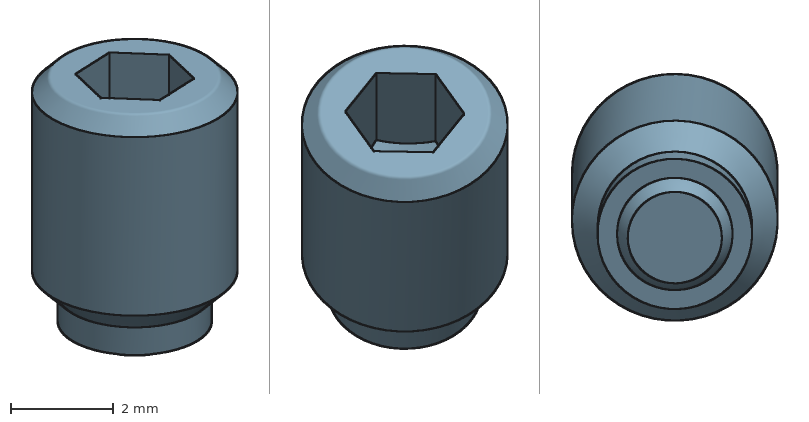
import cadquery as cq
import math

total_height = 5.6
body_radius = 2.0
collar_radius = 1.5
collar_height = 0.6
top_chamfer = 0.335
top_edge_radius = 0.1

ball_radius = 1.25
ball_center_z = 0.85
ball_protrusion = 0.3

socket_across_flats = 2.0
socket_depth = 2.0
socket_floor_angle = 120.0

socket_corner_radius = socket_across_flats / math.sqrt(3)
socket_cone_depth = socket_corner_radius / math.tan(math.radians(socket_floor_angle / 2))
socket_floor_z = total_height - socket_depth
collar_bottom_z = ball_protrusion
collar_top_z = collar_bottom_z + collar_height
bottom_chamfer = body_radius - collar_radius


def make_ball():
    """Ball cut off flat at Z = 0."""
    sphere = cq.Workplane("XY").sphere(ball_radius).translate((0, 0, ball_center_z))
    upper_space = cq.Workplane("XY").box(
        2 * ball_radius, 2 * ball_radius, ball_center_z + ball_radius, centered=(True, True, False)
    )
    return sphere.intersect(upper_space)


def make_socket():
    """Hexagonal cavity, corners along X, narrowing to a point at the bottom."""
    cone_tip_z = socket_floor_z - socket_cone_depth
    drilled_hole = (
        cq.Workplane("XZ")
        .moveTo(0, cone_tip_z)
        .lineTo(socket_corner_radius, socket_floor_z)
        .lineTo(socket_corner_radius, total_height)
        .lineTo(0, total_height)
        .close()
        .revolve(360, (0, 0), (0, 1))
    )
    hexagon = (
        cq.Workplane("XY", origin=(0, 0, cone_tip_z))
        .polygon(6, 2 * socket_corner_radius)
        .extrude(total_height - cone_tip_z)
    )
    return hexagon.intersect(drilled_hole)


def make_screw(ball):
    """Chamfered body and collar, with the hexagon socket and a seat that matches the ball."""
    blank = (
        cq.Workplane("XZ")
        .moveTo(0, collar_bottom_z)
        .lineTo(collar_radius, collar_bottom_z)
        .lineTo(collar_radius, collar_top_z)
        .lineTo(body_radius, collar_top_z + bottom_chamfer)
        .lineTo(body_radius, total_height - top_chamfer)
        .lineTo(body_radius - top_chamfer, total_height)
        .lineTo(0, total_height)
        .close()
        .revolve(360, (0, 0), (0, 1))
    )
    rounded_blank = blank.faces(">Z").edges().fillet(top_edge_radius)
    return rounded_blank.cut(make_socket()).cut(ball)


ball = make_ball()
screw = make_screw(ball)

result = cq.Compound.makeCompound([screw.solids().val(), ball.solids().val()])